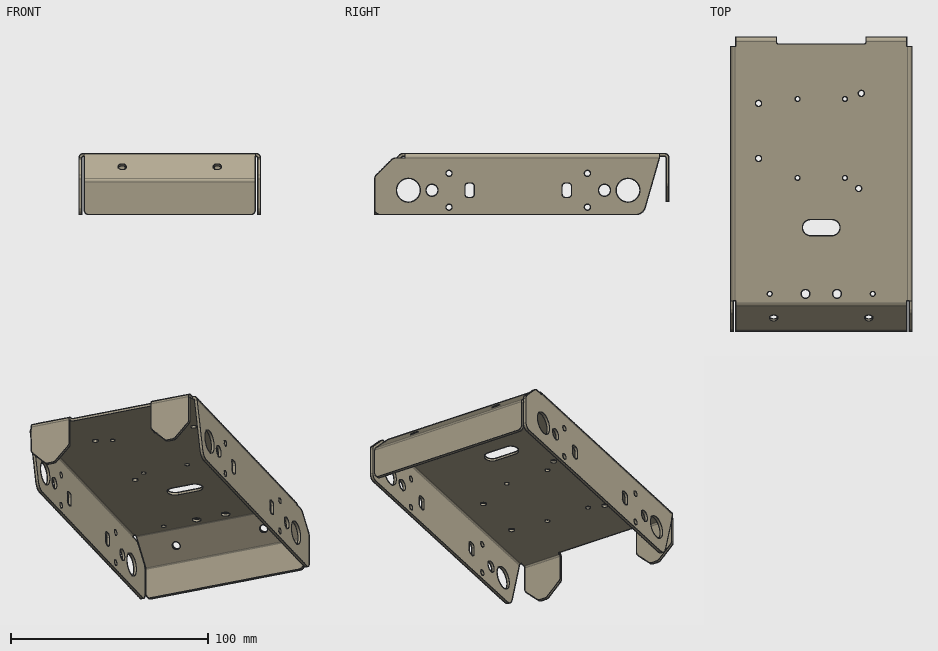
import cadquery as cq
import math

WIDTH = 92.0
LENGTH = 149.2
HEIGHT = 31.0

THICKNESS = 1.5
BEND_RADIUS = 2.2

STRIP_WIDTH = 86.8
SLOPE_RUN = 13.5
FRONT_CORNER_RADIUS = 2.4
TAB_BOTTOM = 6.5
TAB_BEVEL = 8.0
TAB_CORNER_RADIUS = 2.2
TAB_GAP = 45.2
NOTCH_Y = 145.6
NOTCH_RADIUS = 0.7

FOLD_FRONT_Y = 15.4
FOLD_REAR_Y = 144.5
FLANGE_TOP = HEIGHT - BEND_RADIUS
FLANGE_FRONT_TOP = 19.2
FLANGE_REAR_ANGLE = 16.0
FLANGE_REAR_RADIUS = 5.0
FLANGE_FRONT_RADIUS = 3.0

SIDE_MIDDLE_Y = 72.8
SIDE_HOLE_Z = 12.4
SIDE_ROUND_HOLES = [(55.7, 12.0), (43.7, 6.0)]
SIDE_SCREW_OFFSET = 35.0
SIDE_SCREW_SPACING = 17.2
SIDE_SLOT_OFFSET = 24.6
SIDE_SLOT_WIDTH = 4.6
SIDE_SLOT_HEIGHT = 7.2
SIDE_SLOT_RADIUS = 1.5

SCREW_DIAMETER = 3.0
SMALL_DIAMETER = 2.4
BOARD_SCREWS = [(-31.8, 115.5), (-31.8, 87.6), (20.3, 120.5), (19.0, 72.4)]
SMALL_GRID_X = 24.0
SMALL_GRID_Y = 40.0
SMALL_GRID_CENTRE_Y = 97.7
CABLE_SLOT_Y = 52.5
CABLE_SLOT_LENGTH = 19.0
CABLE_SLOT_WIDTH = 8.0
FRONT_ROW_Y = 19.0
FRONT_ROW_SMALL_SPACING = 52.2
FRONT_ROW_LARGE_SPACING = 16.0
FRONT_ROW_LARGE_DIAMETER = 4.3

SLOPE_HOLE_SPACING = 48.2
SLOPE_HOLE_DIAMETER = 4.2


def across(half_width):
    """YZ workplane at X = -half_width, ready to extrude along +X."""
    return cq.Workplane("YZ", origin=(-half_width, 0, 0))


def make_strip():
    """Front flange, sloped front, top panel and rear tabs folded from one strip."""
    slope_bottom = HEIGHT - SLOPE_RUN
    outline = [(0, 0), (0, slope_bottom), (SLOPE_RUN, HEIGHT), (LENGTH, HEIGHT), (LENGTH, 0)]
    body = across(STRIP_WIDTH / 2).polyline(outline).close().extrude(STRIP_WIDTH)
    for y, z in outline[1:4]:
        body = body.edges(cq.NearestToPointSelector((0, y, z))).fillet(BEND_RADIUS)
    return body.faces("<Z or <X or >X").shell(-THICKNESS)


def make_flanges():
    """Two side flanges folded down from the top panel."""
    channel = (
        cq.Workplane("XZ")
        .rect(WIDTH, HEIGHT)
        .extrude(-LENGTH)
        .translate((0, 0, HEIGHT / 2))
        .edges("|Y and >Z")
        .fillet(BEND_RADIUS)
        .faces("<Z or <Y or >Y")
        .shell(-THICKNESS)
    )
    rear_foot_y = FOLD_REAR_Y - FLANGE_TOP * math.tan(math.radians(FLANGE_REAR_ANGLE))
    outline = [
        (0, 0),
        (0, FLANGE_FRONT_TOP),
        (FLANGE_TOP - FLANGE_FRONT_TOP, FLANGE_TOP),
        (FOLD_FRONT_Y, FLANGE_TOP),
        (FOLD_FRONT_Y, HEIGHT),
        (FOLD_REAR_Y, HEIGHT),
        (FOLD_REAR_Y, FLANGE_TOP),
        (rear_foot_y, 0),
    ]
    side = across(WIDTH / 2).polyline(outline).close().extrude(WIDTH)
    for y, z in outline[:3]:
        side = side.edges(cq.NearestToPointSelector((0, y, z))).fillet(FLANGE_FRONT_RADIUS)
    side = side.edges(cq.NearestToPointSelector((0, rear_foot_y, 0))).fillet(FLANGE_REAR_RADIUS)
    return channel.intersect(side)


def tab_gap_cutter():
    """Notch in the rear edge that separates the two tabs."""
    return (
        cq.Workplane("XY")
        .box(TAB_GAP, 2 * (LENGTH - NOTCH_Y), HEIGHT, centered=(True, True, False))
        .edges("|Z and <Y")
        .fillet(NOTCH_RADIUS)
        .translate((0, LENGTH, 0))
    )


def tab_waste_cutter():
    """Waste below the rear tabs, leaving each with two bevelled, rounded lower corners."""
    tab_width = (STRIP_WIDTH - TAB_GAP) / 2
    depth = 2 * (LENGTH - NOTCH_Y)
    bevel_top = TAB_BOTTOM + TAB_BEVEL
    foot_half_width = tab_width / 2 - TAB_BEVEL
    outline = [
        (-tab_width / 2, HEIGHT),
        (-tab_width / 2, bevel_top),
        (-foot_half_width, TAB_BOTTOM),
        (foot_half_width, TAB_BOTTOM),
        (tab_width / 2, bevel_top),
        (tab_width / 2, HEIGHT),
    ]
    tab = (
        cq.Workplane("XZ")
        .polyline(outline)
        .close()
        .extrude(depth / 2, both=True)
        .edges("|Y and (not >Z)")
        .fillet(TAB_CORNER_RADIUS)
    )
    waste = cq.Workplane("XY").box(tab_width, depth, HEIGHT, centered=(True, True, False)).cut(tab)
    tab_x = (STRIP_WIDTH + TAB_GAP) / 4
    return waste.translate((-tab_x, LENGTH, 0)).union(waste.translate((tab_x, LENGTH, 0)))


def front_corner_cutter():
    """Waste outside the rounded lower corners of the front flange."""
    depth = 2 * THICKNESS
    corner_band = (
        cq.Workplane("XY")
        .box(STRIP_WIDTH, depth, FRONT_CORNER_RADIUS, centered=(True, True, False))
    )
    rounded = (
        cq.Workplane("XY")
        .box(STRIP_WIDTH, depth, HEIGHT, centered=(True, True, False))
        .edges("|Y and <Z")
        .fillet(FRONT_CORNER_RADIUS)
    )
    return corner_band.cut(rounded)


def top_cutters():
    """Holes and cable slot through the top panel."""

    def at_y(y):
        return cq.Workplane("XY").center(0, y)

    sketches = [
        at_y(0).pushPoints(BOARD_SCREWS).circle(SCREW_DIAMETER / 2),
        at_y(SMALL_GRID_CENTRE_Y).rarray(SMALL_GRID_X, SMALL_GRID_Y, 2, 2).circle(SMALL_DIAMETER / 2),
        at_y(CABLE_SLOT_Y).slot2D(CABLE_SLOT_LENGTH, CABLE_SLOT_WIDTH),
        at_y(FRONT_ROW_Y).rarray(FRONT_ROW_SMALL_SPACING, 1.5, 2, 1).circle(SMALL_DIAMETER / 2),
        at_y(FRONT_ROW_Y).rarray(FRONT_ROW_LARGE_SPACING, 1.5, 2, 1).circle(FRONT_ROW_LARGE_DIAMETER / 2),
    ]
    return [sketch.extrude(HEIGHT) for sketch in sketches]


def side_cutters():
    """Holes and slots through both side flanges."""

    def middle():
        return across(WIDTH / 2).center(SIDE_MIDDLE_Y, SIDE_HOLE_Z)

    cutters = [
        middle().rarray(2 * offset, 1.5, 2, 1).circle(diameter / 2).extrude(WIDTH)
        for offset, diameter in SIDE_ROUND_HOLES
    ]
    screws = middle().rarray(2 * SIDE_SCREW_OFFSET, SIDE_SCREW_SPACING, 2, 2)
    cutters.append(screws.circle(SCREW_DIAMETER / 2).extrude(WIDTH))
    slots = (
        middle()
        .rarray(2 * SIDE_SLOT_OFFSET, 1.5, 2, 1)
        .rect(SIDE_SLOT_WIDTH, SIDE_SLOT_HEIGHT)
        .extrude(WIDTH)
        .edges("|X")
        .fillet(SIDE_SLOT_RADIUS)
    )
    cutters.append(slots)
    return cutters


def slope_cutter():
    """Pair of holes square to the sloped front, centred on the slope."""
    slope_plane = cq.Plane(
        origin=(0, SLOPE_RUN / 2, HEIGHT - SLOPE_RUN / 2),
        xDir=(1, 0, 0),
        normal=(0, -1, 1),
    )
    return (
        cq.Workplane(slope_plane)
        .rarray(SLOPE_HOLE_SPACING, 1.5, 2, 1)
        .circle(SLOPE_HOLE_DIAMETER / 2)
        .extrude(2 * THICKNESS, both=True)
    )


strip = make_strip().cut(tab_gap_cutter()).cut(tab_waste_cutter()).cut(front_corner_cutter())
body = strip.union(make_flanges())
for cutter in [*top_cutters(), *side_cutters(), slope_cutter()]:
    body = body.cut(cutter)
result = body.solids()